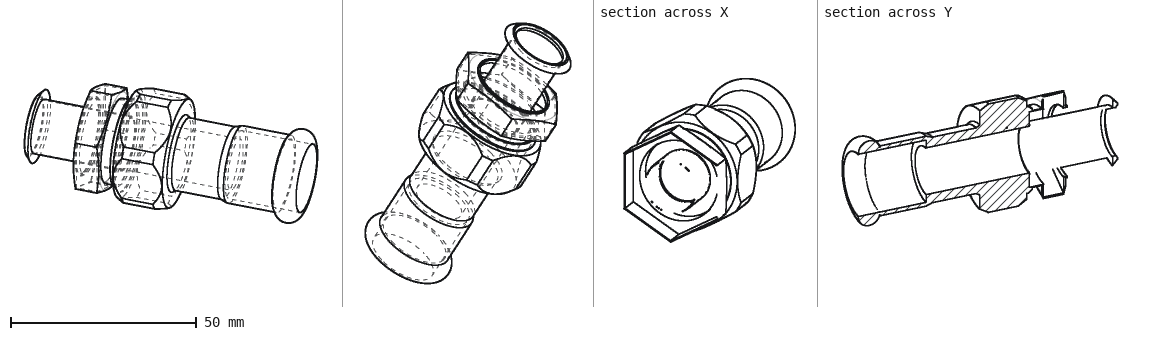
import cadquery as cq
import math

length = 77.0

bore_d = 14.0
tube_d = 15.0
flare_d = 20.3
flare_lip_d = 17.0
flare_mouth_d = 16.0
flare_length = 1.55
mouth_chamfer = 0.55
tube_bore_d = 14.5

hex_start = 15.4
hex_end = 22.6
hex_flats = 27.2
hex_face_d = 27.0
hex_chamfer = 0.6
rim_start = 15.0
rim_d = 21.8
mouth_d = 20.8
shell = 0.4
hex_end_wall = 0.7

neck_d = 23.5
cone_start = 25.3
cone_end = 26.6
cone_small_d = 24.4
cone_large_d = 26.4
neck_bore_d = neck_d - 2 * shell
neck_bore_end = 26.2

nut_start = 26.95
nut_end = 41.0
nut_flats = 30.0
nut_turned_d = 32.95
nut_face_d = 29.9
nut_chamfer = 2.6

collar_d = 21.3
collar_end = 42.05
body_d = 20.0
expansion_start = 55.05
expansion_end = 56.9
socket_d = 21.3
socket_bore_d = 18.7
bead_d = 25.8
bead_width = 6.5


def revolve(profile):
    """Turn a closed (x, radius) sketch around the X axis."""
    return profile.close().revolve(360, (0, 0, 0), (1, 0, 0))


def cone(start, end, start_d, end_d):
    points = [(start, 0), (start, start_d / 2), (end, end_d / 2), (end, 0)]
    return revolve(cq.Workplane("XY").polyline(points))


def cylinder(start, end, diameter):
    return cone(start, end, diameter, diameter)


def hexagon(start, end, flats):
    """Hexagonal prism with flats facing +Y and -Y."""
    return (
        cq.Workplane("YZ")
        .workplane(offset=start)
        .polygon(6, flats, circumscribed=True)
        .extrude(end - start)
    )


def chamfered_hexagon(start, end, flats, face_d, turned_d, chamfer):
    """Hexagonal prism trimmed by a double-chamfered cylinder."""
    prism = hexagon(start, end, flats)
    envelope = revolve(
        cq.Workplane("XY").polyline([
            (start, 0),
            (start, face_d / 2),
            (start + chamfer, turned_d / 2),
            (end - chamfer, turned_d / 2),
            (end, face_d / 2),
            (end, 0),
        ])
    )
    return prism.intersect(envelope)


def bead():
    """Rolled bead with a half-round crown at the socket mouth."""
    start = length - bead_width
    shoulder = bead_d / 2 - bead_width / 2
    return revolve(
        cq.Workplane("XY")
        .moveTo(start, 0)
        .lineTo(start, shoulder)
        .threePointArc((start + bead_width / 2, bead_d / 2), (length, shoulder))
        .lineTo(length, 0)
    )


hex_corners_d = hex_flats / math.cos(math.radians(30))
small_hex = chamfered_hexagon(hex_start, hex_end, hex_flats, hex_face_d, hex_corners_d, hex_chamfer)
nut = chamfered_hexagon(nut_start, nut_end, nut_flats, nut_face_d, nut_turned_d, nut_chamfer)
fitting = (
    small_hex
    .union(cylinder(rim_start, hex_start, rim_d))
    .union(cylinder(hex_end, cone_start, neck_d))
    .union(cone(cone_start, cone_end, cone_small_d, cone_large_d))
    .union(cylinder(cone_end, nut_start, cone_large_d))
    .union(nut)
    .union(cone(nut_end, collar_end, collar_d, body_d))
    .union(cylinder(collar_end, expansion_start, body_d))
    .union(cone(expansion_start, expansion_end, body_d, socket_d))
    .union(cylinder(expansion_end, length - bead_width, socket_d))
    .union(bead())
)

cavity_start = hex_start + hex_end_wall
cavity_end = hex_end - hex_end_wall
fitting = (
    fitting
    .cut(cylinder(rim_start, cavity_start, mouth_d))
    .cut(hexagon(cavity_start, cavity_end, hex_flats - 2 * shell))
    .cut(cylinder(cavity_end, neck_bore_end, neck_bore_d))
)

fitting = (
    fitting
    .union(cylinder(flare_length, neck_bore_end, tube_d))
    .union(cone(0, flare_length, flare_lip_d, flare_d))
)

result = (
    fitting
    .cut(cylinder(0, length, bore_d))
    .cut(cylinder(0, neck_bore_end, tube_bore_d))
    .cut(cone(0, mouth_chamfer, flare_mouth_d, tube_bore_d))
    .cut(cylinder(expansion_end, length, socket_bore_d))
)